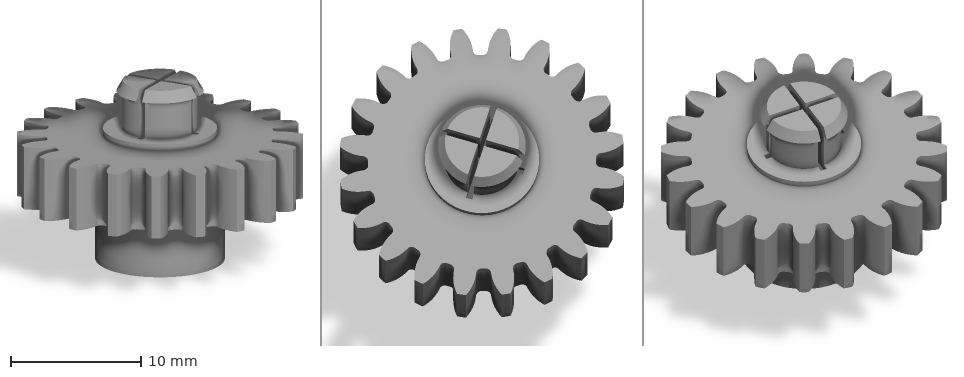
import cadquery as cq
import math

TEETH = 20
TIP_DIAMETER = 22.0
ROOT_DIAMETER = 17.5
PRESSURE_ANGLE = math.radians(20)
TIP_RADIUS = TIP_DIAMETER / 2
ROOT_RADIUS = ROOT_DIAMETER / 2
MODULE = TIP_DIAMETER / (TEETH + 2)
PITCH_RADIUS = TEETH * MODULE / 2
BASE_RADIUS = PITCH_RADIUS * math.cos(PRESSURE_ANGLE)
ROOT_FILLET = 0.41
GEAR_WIDTH = 5.0

HUB_DIAMETER = 10.0
HUB_HEIGHT = 5.0
COLLAR_DIAMETER = 8.8
COLLAR_HEIGHT = 0.5

PIN_RADIUS = 2.9
PIN_HEIGHT = 3.0
HEAD_BOTTOM_RADIUS = 3.36
HEAD_TOP_RADIUS = 2.85
HEAD_HEIGHT = 0.87
SLOT_WIDTH = 0.5

GEAR_BOTTOM = HUB_HEIGHT
GEAR_TOP = GEAR_BOTTOM + GEAR_WIDTH
COLLAR_TOP = GEAR_TOP + COLLAR_HEIGHT
HEAD_BOTTOM = COLLAR_TOP + PIN_HEIGHT
HEAD_TOP = HEAD_BOTTOM + HEAD_HEIGHT


def polar(radius, angle):
    return (radius * math.cos(angle), radius * math.sin(angle))


def involute(angle):
    return math.tan(angle) - angle


def tooth_half_angle(radius):
    """Angle between the tooth centreline and its involute flank at a radius."""
    flank_angle = math.acos(BASE_RADIUS / radius)
    return math.pi / (2 * TEETH) + involute(PRESSURE_ANGLE) - involute(flank_angle)


def make_tooth_gap():
    """Cutter for the gap centred on +X, between two neighbouring teeth."""
    half_pitch = math.pi / TEETH
    base_angle = half_pitch - tooth_half_angle(BASE_RADIUS)
    pitch_angle = half_pitch - tooth_half_angle(PITCH_RADIUS)
    tip_angle = half_pitch - tooth_half_angle(TIP_RADIUS)
    clear_radius = TIP_RADIUS + MODULE
    gap = (
        cq.Workplane("XY")
        .workplane(offset=GEAR_BOTTOM)
        .moveTo(*polar(ROOT_RADIUS, -base_angle))
        .threePointArc(polar(PITCH_RADIUS, -pitch_angle), polar(TIP_RADIUS, -tip_angle))
        .lineTo(*polar(clear_radius, -tip_angle))
        .lineTo(*polar(clear_radius, tip_angle))
        .lineTo(*polar(TIP_RADIUS, tip_angle))
        .threePointArc(polar(PITCH_RADIUS, pitch_angle), polar(ROOT_RADIUS, base_angle))
        .threePointArc((ROOT_RADIUS, 0), polar(ROOT_RADIUS, -base_angle))
        .close()
        .extrude(GEAR_WIDTH)
    )
    root_corners = cq.selectors.BoxSelector(
        (0, -MODULE, GEAR_BOTTOM), (BASE_RADIUS, MODULE, GEAR_TOP)
    )
    return gap.edges("|Z").edges(root_corners).fillet(ROOT_FILLET)


def make_gear():
    gear = cq.Workplane("XY").workplane(offset=GEAR_BOTTOM).circle(TIP_RADIUS).extrude(GEAR_WIDTH)
    gap = make_tooth_gap()
    for i in range(TEETH):
        gear = gear.cut(gap.rotate((0, 0, 0), (0, 0, 1), i * 360 / TEETH))
    return gear


def make_core():
    """Hub, collar, pin and head as one turned body."""
    return (
        cq.Workplane("XZ")
        .moveTo(0, 0)
        .lineTo(HUB_DIAMETER / 2, 0)
        .lineTo(HUB_DIAMETER / 2, GEAR_TOP)
        .lineTo(COLLAR_DIAMETER / 2, GEAR_TOP)
        .lineTo(COLLAR_DIAMETER / 2, COLLAR_TOP)
        .lineTo(PIN_RADIUS, COLLAR_TOP)
        .lineTo(PIN_RADIUS, HEAD_BOTTOM)
        .lineTo(HEAD_BOTTOM_RADIUS, HEAD_BOTTOM)
        .lineTo(HEAD_TOP_RADIUS, HEAD_TOP)
        .lineTo(0, HEAD_TOP)
        .close()
        .revolve(360, (0, 0, 0), (0, 1, 0))
    )


def make_cross_slot():
    """Crossing slots that split the pin and head, and run on down through the collar."""
    slot_length = 2 * HEAD_BOTTOM_RADIUS
    slot_height = HEAD_TOP - GEAR_TOP
    floor = cq.Workplane("XY").workplane(offset=GEAR_TOP)
    along_x = floor.rect(slot_length, SLOT_WIDTH).extrude(slot_height)
    along_y = floor.rect(SLOT_WIDTH, slot_length).extrude(slot_height)
    rim = floor.circle(HEAD_BOTTOM_RADIUS).extrude(slot_height)
    return along_x.union(along_y).intersect(rim)


result = make_gear().union(make_core()).cut(make_cross_slot())